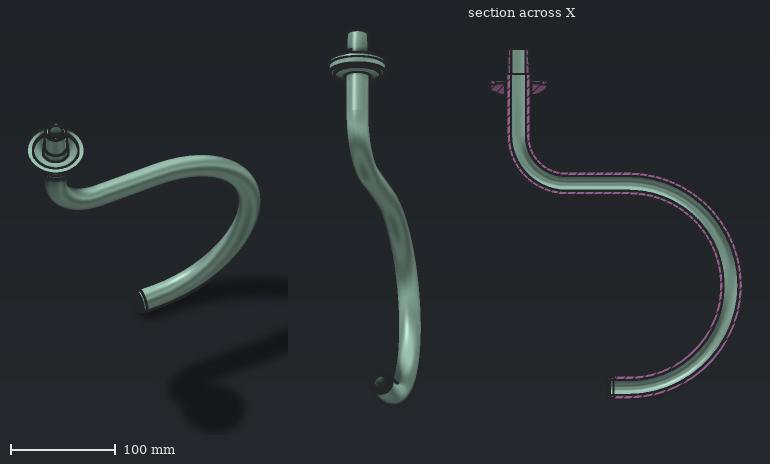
import cadquery as cq
import math

overall_height = 335.2

tube_radius = 11.55
bore_radius = 7.0
tube_top = 6.0
drop_end = -53.0
elbow_radius = 45.5
straight_length = 60.0
hook_radius = 97.5
outlet_length = 14.7

nipple_radius = 10.9
nipple_top_radius = 10.5
nipple_bore_radius = 6.7
nipple_chamfer = 1.0
flat_offset = 8.7
flat_height = 4.0
flat_angle = 36

flange_radius = 27.8
flange_wall_radius = 26.8
flange_rim_bottom = -10.0
flange_hole_radius = 12.5
seal_inner_radius = 21.8
seal_thickness = 4.0
recess_depth = 2.7
rim_bevel_radius = 25.8
rim_bevel_bottom = -11.0
step_top_radius = 22.5
step_top = -11.7
step_foot_radius = 21.8
step_foot = -12.7
boss_radius = 16.0
flange_bottom = -14.5

outlet_radius = 10.5
collar_length = 3.5
end_ring_length = 3.0
end_chamfer = 1.5
bore_chamfer = 1.0

elbow_end_y = elbow_radius
straight_z = drop_end - elbow_radius
hook_start_y = elbow_end_y + straight_length
hook_center_z = straight_z - hook_radius
outlet_z = hook_center_z - hook_radius
nipple_top = outlet_z - tube_radius + overall_height
outlet_end_y = hook_start_y - outlet_length


def ring(outer_radius, inner_radius, bottom, height):
    """Ring around the Z axis."""
    return cq.Workplane("XY").workplane(offset=bottom).circle(outer_radius).circle(inner_radius).extrude(height)


def outlet_ring(start_y, length):
    """Ring on the outlet axis, running from start_y toward -Y."""
    plane = cq.Plane(origin=(0, start_y, outlet_z), xDir=(1, 0, 0), normal=(0, -1, 0))
    return cq.Workplane(plane).circle(outlet_radius).circle(bore_radius).extrude(length)


def make_tube():
    """Hollow tube: vertical leg, elbow, straight run, half-circle hook, outlet."""
    elbow_offset = elbow_radius * (1 - math.sqrt(0.5))
    path = (
        cq.Workplane("YZ")
        .moveTo(0, tube_top)
        .lineTo(0, drop_end)
        .threePointArc((elbow_offset, straight_z + elbow_offset), (elbow_end_y, straight_z))
        .lineTo(hook_start_y, straight_z)
        .threePointArc((hook_start_y + hook_radius, hook_center_z), (hook_start_y, outlet_z))
        .lineTo(outlet_end_y, outlet_z)
    )
    return cq.Workplane("XY").workplane(offset=tube_top).circle(tube_radius).circle(bore_radius).sweep(path)


def make_nipple():
    """Slightly tapered nipple with a chamfered top and one flat."""
    profile = [
        (nipple_bore_radius, tube_top),
        (nipple_radius, tube_top),
        (nipple_top_radius, nipple_top - nipple_chamfer),
        (nipple_top_radius - nipple_chamfer, nipple_top),
        (nipple_bore_radius, nipple_top),
    ]
    nipple = cq.Workplane("XZ").polyline(profile).close().revolve(360, (0, 0), (0, 1))
    cutter = (
        cq.Workplane("XY")
        .box(nipple_radius, 2 * nipple_radius, flat_height, centered=(True, True, False))
        .translate((-flat_offset - nipple_radius / 2, 0, tube_top))
        .rotate((0, 0, 0), (0, 0, 1), flat_angle)
    )
    return nipple.cut(cutter)


def make_flange():
    """Round flange with a seat for the seal ring and a stepped underside."""
    profile = [
        (flange_hole_radius, -recess_depth),
        (seal_inner_radius, -recess_depth),
        (seal_inner_radius, -seal_thickness),
        (flange_radius, -seal_thickness),
        (flange_wall_radius, flange_rim_bottom),
        (rim_bevel_radius, rim_bevel_bottom),
        (step_top_radius, step_top),
        (step_foot_radius, step_foot),
        (boss_radius, flange_bottom),
        (flange_hole_radius, flange_bottom),
    ]
    return cq.Workplane("XZ").polyline(profile).close().revolve(360, (0, 0), (0, 1))


tube = make_tube()
nipple = make_nipple()
flange = make_flange()
seal = ring(flange_radius, seal_inner_radius, -seal_thickness, seal_thickness)

collar = outlet_ring(outlet_end_y, collar_length)
end_ring = (
    outlet_ring(outlet_end_y - collar_length, end_ring_length)
    .faces("<Y").edges(cq.selectors.RadiusNthSelector(1)).chamfer(end_chamfer)
    .faces("<Y").edges(cq.selectors.RadiusNthSelector(0)).chamfer(bore_chamfer)
)

result = cq.Compound.makeCompound([
    tube.val(),
    nipple.val(),
    flange.val(),
    seal.val(),
    collar.val(),
    end_ring.val(),
])